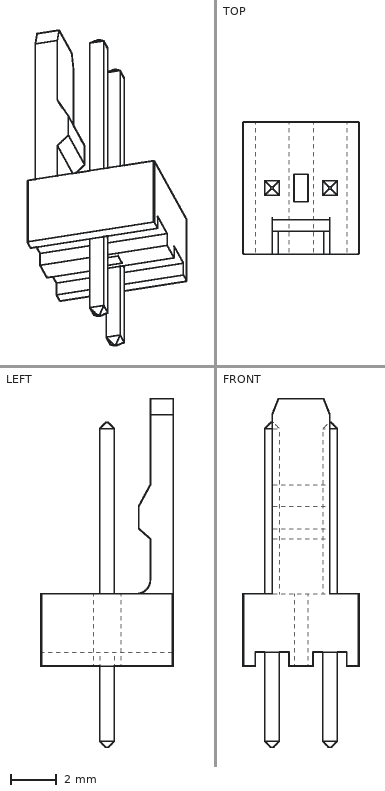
import cadquery as cq

overall_height = 15.26

body_width = 5.08
body_depth = 5.8
body_bottom = 3.55
body_height = 3.17
body_top = body_bottom + body_height
body_front = -body_depth / 2
corner_chamfer = 0.05

pin_pitch = 2.53
pin_side = 0.64
pin_top = 14.22
tip_height = 0.27
tip_side = 0.1

groove_width = 1.46
groove_height = 0.61
slot_width = 0.61
slot_depth = 1.19

tab_width = 2.53
tab_thickness = 1.0
tab_tip_width = 1.98
tab_tip_height = 0.7
root_radius = 0.6
latch_projection = 0.5
latch_bottom = 9.13
latch_flat_bottom = 9.57
latch_flat_top = 10.56
latch_top = 11.49

pin_positions = [(-pin_pitch / 2, 0), (pin_pitch / 2, 0)]


def make_body():
    """Block with chamfered vertical corners, underside grooves and a through slot."""
    body = (
        cq.Workplane("XY")
        .workplane(offset=body_bottom)
        .rect(body_width, body_depth)
        .extrude(body_height)
        .edges("|Z")
        .chamfer(corner_chamfer)
    )
    grooves = (
        cq.Workplane("XY")
        .workplane(offset=body_bottom)
        .pushPoints(pin_positions)
        .rect(groove_width, body_depth)
        .extrude(groove_height)
    )
    slot = (
        cq.Workplane("XY")
        .workplane(offset=body_bottom)
        .rect(slot_width, slot_depth)
        .extrude(body_height)
    )
    return body.cut(grooves).cut(slot)


def make_tab():
    """Upright tab: latch profile in YZ, trimmed to an outline with a tapered top in XZ."""
    back = body_front + tab_thickness
    latch_face = back + latch_projection
    profile = (
        cq.Workplane("YZ")
        .moveTo(body_front, body_top)
        .lineTo(back + root_radius, body_top)
        .radiusArc((back, body_top + root_radius), root_radius)
        .lineTo(back, latch_bottom)
        .lineTo(latch_face, latch_flat_bottom)
        .lineTo(latch_face, latch_flat_top)
        .lineTo(back, latch_top)
        .lineTo(back, overall_height)
        .lineTo(body_front, overall_height)
        .close()
        .extrude(tab_width / 2, both=True)
    )
    shoulder = overall_height - tab_tip_height
    outline = (
        cq.Workplane("XZ")
        .moveTo(-tab_width / 2, body_top)
        .lineTo(tab_width / 2, body_top)
        .lineTo(tab_width / 2, shoulder)
        .lineTo(tab_tip_width / 2, overall_height)
        .lineTo(-tab_tip_width / 2, overall_height)
        .lineTo(-tab_width / 2, shoulder)
        .close()
        .extrude(body_depth / 2, both=True)
    )
    return profile.intersect(outline)


def make_tip(base_height, direction):
    """Tapered pin end; direction is 1 for upward and -1 for downward."""
    return (
        cq.Workplane("XY")
        .workplane(offset=base_height)
        .rect(pin_side, pin_side)
        .workplane(offset=direction * tip_height)
        .rect(tip_side, tip_side)
        .loft(ruled=True)
    )


def make_pin():
    """Square pin on the Z axis, tapered at both ends."""
    shaft_top = pin_top - tip_height
    shaft = (
        cq.Workplane("XY")
        .workplane(offset=tip_height)
        .rect(pin_side, pin_side)
        .extrude(shaft_top - tip_height)
    )
    return shaft.union(make_tip(shaft_top, 1)).union(make_tip(tip_height, -1))


result = make_body().union(make_tab())
for x, y in pin_positions:
    result = result.union(make_pin().translate((x, y, 0)))